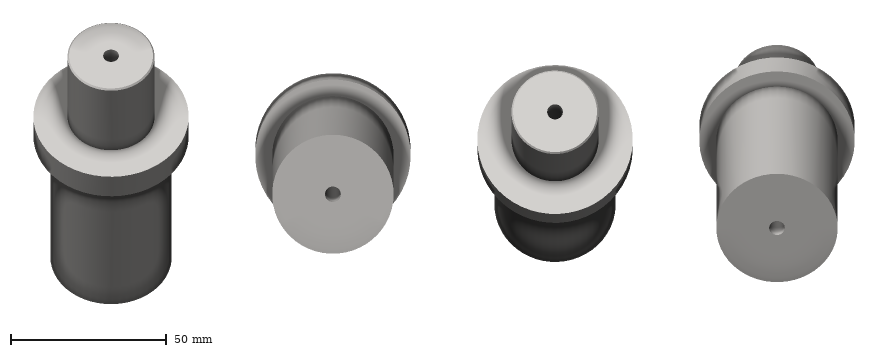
import cadquery as cq

total_height = 103.0
body_diameter = 39.0
body_height = 62.0
flange_diameter = 50.0
flange_thickness = 10.0
spigot_diameter = 28.0
spigot_chamfer = 0.5
bore_diameter = 5.0

spigot_height = total_height - body_height - flange_thickness


def stepped_shaft():
    """Body, flange and spigot stacked on the Z axis, with the spigot's top rim chamfered."""
    body = cq.Workplane("XY").circle(body_diameter / 2).extrude(body_height)
    flanged = body.faces(">Z").workplane().circle(flange_diameter / 2).extrude(flange_thickness)
    shaft = flanged.faces(">Z").workplane().circle(spigot_diameter / 2).extrude(spigot_height)
    return shaft.faces(">Z").edges().chamfer(spigot_chamfer)


result = stepped_shaft().faces(">Z").workplane().hole(bore_diameter)